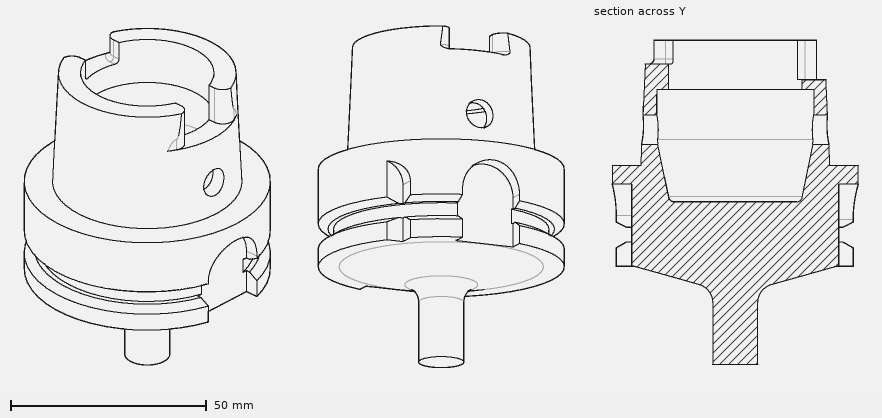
import cadquery as cq
import math

TOTAL_HEIGHT = 82.9
FLANGE_TOP = 50.9
GROOVE_UPPER_RIM = 36.4
GROOVE_TOP = 35.1
GROOVE_BOTTOM = 31.3
GROOVE_LOWER_RIM = 29.85
FLANGE_BOTTOM = 25.1
PIN_FILLET_BOTTOM = 15.8

FLANGE_RADIUS = 62.9 / 2
GROOVE_RADIUS = 27.5
GROOVE_RIM_RADIUS = 28.9
SHANK_BASE_RADIUS = 24.2
SHANK_TOP_RADIUS = 22.7
UNDERSIDE_CONE_RADIUS = 26.1
UNDERSIDE_CONE_ANGLE = math.radians(15)
PIN_RADIUS = 5.8
PIN_FILLET = 4.7

BORE_RADIUS = 34.1 / 2
CHAMBER_RADIUS = 40.0 / 2
CHAMBER_TOP = 70.2
CHAMBER_BOTTOM = 57.45
BORE_FLOOR = 41.6
BORE_FLOOR_FILLET = 1.3
CROSS_HOLE_DIAMETER = 7.5
CROSS_HOLE_Z = 60.0

RIM_SLOT_HALF_WIDTH = 6.2
RIM_SLOT_FLARE_START = 17.8
RIM_SLOT_FLARE_RADIUS = 3.0
RIM_SLOT_RUNOUT_ANGLE = math.radians(27)
LEFT_RIM_SLOT_DEPTH = 6.05
RIGHT_RIM_SLOT_DEPTH = 10.1
LEFT_RIM_SLOT_FILLET = 1.2

FLANGE_SLOT_TOP = 46.1
FLANGE_SLOT_FLOOR = 26.45
LEFT_SLOT_WIDTH = 16.0
RIGHT_SLOT_WIDTH = 18.0
CORNER_NOTCH_FLOOR = 19.8
CORNER_NOTCH_WIDTH = 12.0
CORNER_NOTCH_EDGE = 19.9

CUTTER_REACH = 41.45


def turned_body():
    """Shank, grooved flange, underside cone and pin as one revolved profile."""
    fillet_center_r = PIN_RADIUS + PIN_FILLET

    def fillet_point(angle):
        return (
            fillet_center_r - PIN_FILLET * math.cos(angle),
            PIN_FILLET_BOTTOM + PIN_FILLET * math.sin(angle),
        )

    cone_tangent = math.pi / 2 - UNDERSIDE_CONE_ANGLE
    profile = (
        cq.Workplane("XZ")
        .moveTo(0, 0)
        .lineTo(PIN_RADIUS, 0)
        .lineTo(PIN_RADIUS, PIN_FILLET_BOTTOM)
        .threePointArc(fillet_point(cone_tangent / 2), fillet_point(cone_tangent))
        .lineTo(UNDERSIDE_CONE_RADIUS, FLANGE_BOTTOM)
        .lineTo(FLANGE_RADIUS, FLANGE_BOTTOM)
        .lineTo(FLANGE_RADIUS, GROOVE_LOWER_RIM)
        .lineTo(GROOVE_RIM_RADIUS, GROOVE_BOTTOM)
        .lineTo(GROOVE_RADIUS, GROOVE_BOTTOM)
        .lineTo(GROOVE_RADIUS, GROOVE_TOP)
        .lineTo(GROOVE_RIM_RADIUS, GROOVE_TOP)
        .lineTo(FLANGE_RADIUS, GROOVE_UPPER_RIM)
        .lineTo(FLANGE_RADIUS, FLANGE_TOP)
        .lineTo(SHANK_BASE_RADIUS, FLANGE_TOP)
        .lineTo(SHANK_TOP_RADIUS, TOTAL_HEIGHT)
        .lineTo(0, TOTAL_HEIGHT)
        .close()
    )
    return profile.revolve(360, (0, 0), (0, 1))


def hollow():
    """Bore with a wider chamber that tapers back to the bore at its rounded floor edge."""
    neck_bottom = BORE_FLOOR + BORE_FLOOR_FILLET
    bore = (
        cq.Workplane("XY")
        .workplane(offset=BORE_FLOOR)
        .circle(BORE_RADIUS)
        .extrude(TOTAL_HEIGHT - BORE_FLOOR)
        .faces("<Z")
        .edges()
        .fillet(BORE_FLOOR_FILLET)
    )
    chamber = (
        cq.Workplane("XZ")
        .moveTo(0, CHAMBER_TOP)
        .lineTo(CHAMBER_RADIUS, CHAMBER_TOP)
        .lineTo(CHAMBER_RADIUS, CHAMBER_BOTTOM)
        .lineTo(BORE_RADIUS, neck_bottom)
        .lineTo(0, neck_bottom)
        .close()
        .revolve(360, (0, 0), (0, 1))
    )
    return bore.union(chamber)


def rim_slot(depth, floor_fillet=0):
    """Slot cutter toward +X; each wall rounds outward, then runs off straight past the rim."""
    flare_center_y = RIM_SLOT_HALF_WIDTH + RIM_SLOT_FLARE_RADIUS

    def flare_point(angle):
        return (
            RIM_SLOT_FLARE_START + RIM_SLOT_FLARE_RADIUS * math.cos(angle),
            flare_center_y + RIM_SLOT_FLARE_RADIUS * math.sin(angle),
        )

    flare_middle = flare_point((RIM_SLOT_RUNOUT_ANGLE - math.pi / 2) / 2)
    flare_end = flare_point(RIM_SLOT_RUNOUT_ANGLE)
    runout_end = (
        flare_end[0] - (CUTTER_REACH - flare_end[1]) * math.tan(RIM_SLOT_RUNOUT_ANGLE),
        CUTTER_REACH,
    )
    half = (
        cq.Workplane("XY")
        .workplane(offset=TOTAL_HEIGHT - depth)
        .lineTo(0, RIM_SLOT_HALF_WIDTH)
        .lineTo(RIM_SLOT_FLARE_START, RIM_SLOT_HALF_WIDTH)
        .threePointArc(flare_middle, flare_end)
        .lineTo(*runout_end)
        .lineTo(CUTTER_REACH, CUTTER_REACH)
        .lineTo(CUTTER_REACH, 0)
        .close()
        .extrude(depth)
    )
    cutter = half.union(half.mirror("XZ"))
    if floor_fillet:
        cutter = cutter.faces("<Z").edges().fillet(floor_fillet)
    return cutter


def flange_slot(width, floor, center_y=0):
    """Round-topped slot cutter toward +X, open at the underside of the flange."""
    radius = width / 2
    arch_z = FLANGE_SLOT_TOP - radius
    return (
        cq.Workplane("YZ")
        .workplane(offset=floor)
        .moveTo(center_y - radius, FLANGE_BOTTOM)
        .lineTo(center_y + radius, FLANGE_BOTTOM)
        .lineTo(center_y + radius, arch_z)
        .threePointArc((center_y, FLANGE_SLOT_TOP), (center_y - radius, arch_z))
        .close()
        .extrude(CUTTER_REACH - floor)
    )


def toward_minus_x(cutter):
    return cutter.mirror("YZ")


cross_hole = (
    cq.Workplane("YZ")
    .center(0, CROSS_HOLE_Z)
    .circle(CROSS_HOLE_DIAMETER / 2)
    .extrude(CUTTER_REACH, both=True)
)
left_rim_slot = rim_slot(LEFT_RIM_SLOT_DEPTH, LEFT_RIM_SLOT_FILLET)
corner_notch_y = CORNER_NOTCH_EDGE + CORNER_NOTCH_WIDTH / 2
corner_notch = flange_slot(CORNER_NOTCH_WIDTH, CORNER_NOTCH_FLOOR, corner_notch_y)

result = (
    turned_body()
    .cut(hollow())
    .cut(cross_hole)
    .cut(rim_slot(RIGHT_RIM_SLOT_DEPTH))
    .cut(toward_minus_x(left_rim_slot))
    .cut(flange_slot(RIGHT_SLOT_WIDTH, FLANGE_SLOT_FLOOR))
    .cut(toward_minus_x(flange_slot(LEFT_SLOT_WIDTH, FLANGE_SLOT_FLOOR)))
    .cut(toward_minus_x(corner_notch))
)